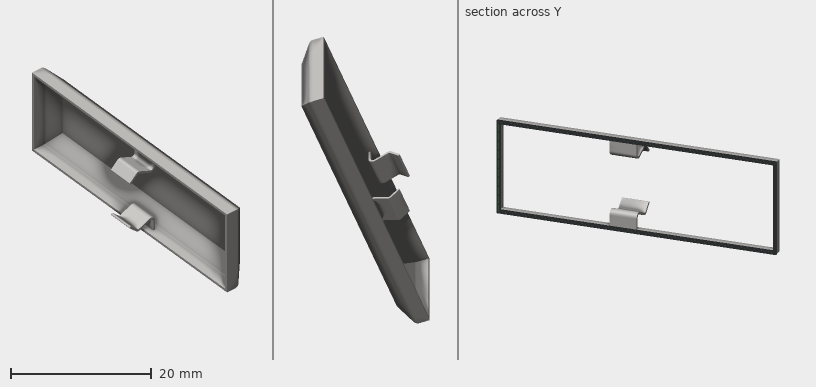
import cadquery as cq
import math

length = 43.0
height = 14.0
tray_depth = 4.15
wall = 0.45
slope_depth = 2.1
border_width = 2.1
lower_border_width = 2.5
shoulder_radius = 0.85

overall_depth = 7.65
clip_width = 4.15
clip_start_x = 0.0
strip = 0.35
root_y = 1.08
root_bend_offset = 3.05
crest_y = -1.95
crest_offset = 1.75
tip_offset = 3.15
tip_setback = 0.07
tip_y = tray_depth - overall_depth + tip_setback
root_bend_radius = 0.45
crest_bend_radius = 0.2
tip_radius = 0.15


def tapered_block(inset):
    """Block with a sloped back border, every face moved inwards by inset except the rim."""
    depth = tray_depth - inset
    shoulder_y = tray_depth - slope_depth - inset * math.tan(math.pi / 8)

    def back_inset(border):
        """Distance from the outer side to the back face, for one sloped border."""
        slope_angle = math.atan2(slope_depth, border)
        return border + inset * math.tan(slope_angle / 2)

    side = back_inset(border_width)
    low = back_inset(lower_border_width)
    base = cq.Workplane("XZ").rect(length - 2 * inset, height - 2 * inset).extrude(-shoulder_y)
    slope = (
        base.faces(">Y")
        .wires()
        .toPending()
        .workplane(offset=depth - shoulder_y, origin=(0, shoulder_y, 0))
        .center(0, (low - side) / 2)
        .rect(length - 2 * side, height - side - low)
        .loft(ruled=True, combine=False)
    )
    block = base.union(slope)
    shoulder = cq.selectors.BoxSelector(
        (-length, shoulder_y - wall / 10, -height),
        (length, shoulder_y + wall / 10, height),
    )
    return block.edges(shoulder).fillet(shoulder_radius - inset)


def strip_side(points, shift):
    """Offset an open polyline sideways by shift, with mitred corners and square ends."""
    directions = []
    for (y0, z0), (y1, z1) in zip(points, points[1:]):
        run = math.hypot(y1 - y0, z1 - z0)
        directions.append(((y1 - y0) / run, (z1 - z0) / run))
    before = [directions[0]] + directions
    after = directions + [directions[-1]]
    side = []
    for (y, z), (ay, az), (by, bz) in zip(points, before, after):
        miter = shift / (1 + ay * by + az * bz)
        side.append((y - miter * (az + bz), z + miter * (ay + by)))
    return side


def corner_edges(body, corner):
    """Edges along X at one corner of the strip profile."""
    y, z = corner
    reach = strip / 10
    return body.edges("|X").edges(
        cq.selectors.BoxSelector(
            (-length, y - reach, z - reach),
            (length, y + reach, z + reach),
        )
    )


def lower_clip():
    floor = -height / 2
    centreline = [
        (root_y, floor + wall / 2),
        (root_y, floor + root_bend_offset),
        (crest_y, floor + crest_offset),
        (tip_y, floor + tip_offset),
    ]
    left = strip_side(centreline, strip / 2)
    right = strip_side(centreline, -strip / 2)
    clip = (
        cq.Workplane("YZ", origin=(clip_start_x, 0, 0))
        .polyline(left + right[::-1])
        .close()
        .extrude(clip_width)
    )
    rounds = [
        (left[1], root_bend_radius),
        (right[1], root_bend_radius + strip),
        (left[2], crest_bend_radius + strip),
        (right[2], crest_bend_radius),
        (left[3], tip_radius),
        (right[3], tip_radius),
    ]
    for corner, radius in rounds:
        clip = corner_edges(clip, corner).fillet(radius)
    return clip


tray = tapered_block(0).cut(tapered_block(wall))
clip = lower_clip()
result = tray.union(clip).union(clip.mirror("XY"))